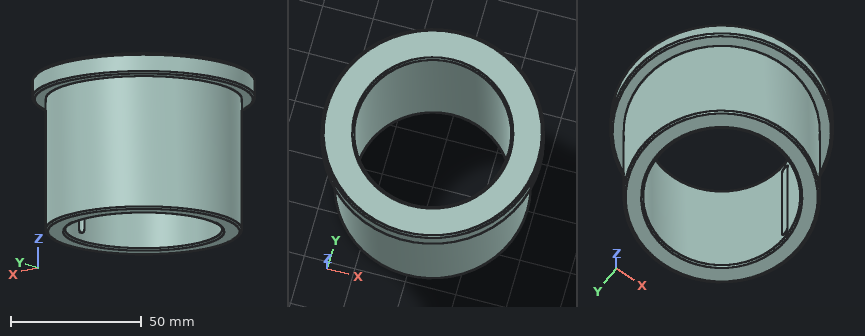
import cadquery as cq

flange_diameter = 85.0
body_diameter = 75.0
bore_diameter = 60.0
total_height = 60.0
flange_thickness = 8.0
chamfer = 0.8

groove_radius = 1.75
groove_depth = 1.5
groove_end_margin = 4.0


def make_cylinder(diameter, bottom, height):
    """Upright cylinder on the bushing axis."""
    return cq.Workplane("XY").workplane(offset=bottom).circle(diameter / 2).extrude(height)


def make_sleeve():
    """Body and flange with a through bore, chamfered on its outer and bore rims."""
    body = make_cylinder(body_diameter, 0, total_height)
    body = body.faces("<Z").edges().chamfer(chamfer)

    flange_bottom = total_height - flange_thickness
    flange = make_cylinder(flange_diameter, flange_bottom, flange_thickness)
    flange = flange.edges("%CIRCLE").chamfer(chamfer)

    bore = make_cylinder(bore_diameter, 0, total_height)
    sleeve = body.union(flange).cut(bore)
    bore_rims = sleeve.edges(cq.selectors.RadiusNthSelector(0))
    return bore_rims.chamfer(chamfer)


def make_groove_cutter():
    """Upright pin with ball ends, sunk into the bore wall at +X to the groove depth."""
    lower_ball_height = groove_end_margin + groove_radius
    upper_ball_height = total_height - lower_ball_height
    groove_axis_x = bore_diameter / 2 + groove_depth - groove_radius

    cutter = (
        cq.Workplane("XY")
        .workplane(offset=lower_ball_height)
        .center(groove_axis_x, 0)
        .circle(groove_radius)
        .extrude(upper_ball_height - lower_ball_height)
    )
    for ball_height in (lower_ball_height, upper_ball_height):
        ball = cq.Workplane("XY").sphere(groove_radius).translate((groove_axis_x, 0, ball_height))
        cutter = cutter.union(ball)
    return cutter


result = make_sleeve().cut(make_groove_cutter())